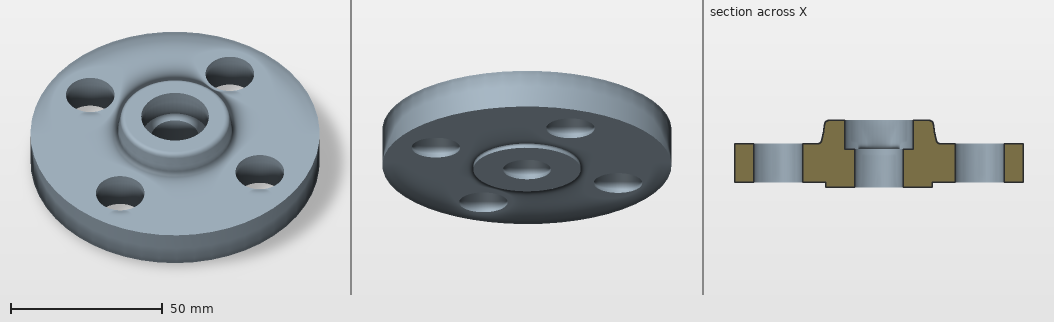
import cadquery as cq

flange_diameter = 95.2
raised_face_height = 1.5
flange_thickness = 12.9
hub_height = 7.8

raised_face_diameter = 35.3

hub_base_diameter = 38.3
hub_taper_angle = 10.0
hub_base_fillet = 1.5
hub_top_round = 1.7

bore_diameter = 15.8
socket_diameter = 22.3
socket_depth = 9.5

bolt_count = 4
bolt_hole_diameter = 16.0
bolt_circle_diameter = 66.5

flange_bottom = raised_face_height
flange_top = flange_bottom + flange_thickness
hub_top = flange_top + hub_height


def make_flange():
    """Round plate with a raised face below it."""
    raised_face = cq.Workplane("XY").circle(raised_face_diameter / 2).extrude(raised_face_height)
    plate = (
        cq.Workplane("XY")
        .workplane(offset=flange_bottom)
        .circle(flange_diameter / 2)
        .extrude(flange_thickness)
    )
    return plate.union(raised_face)


def add_hub(body):
    """Tapered hub, rounded at its top rim and blended into the flange."""
    hub = (
        cq.Workplane("XY")
        .workplane(offset=flange_top)
        .circle(hub_base_diameter / 2)
        .extrude(hub_height, taper=hub_taper_angle)
        .faces(">Z")
        .edges()
        .fillet(hub_top_round)
    )
    inner_edge = cq.selectors.RadiusNthSelector(0)
    flange_top_face = body.union(hub).faces("|Z").faces(">Z[-2]")
    return flange_top_face.edges(inner_edge).fillet(hub_base_fillet)


def cut_bore(body):
    """Through bore with a wider pipe socket entering from the hub end."""
    bore = cq.Workplane("XY").circle(bore_diameter / 2).extrude(hub_top)
    socket = (
        cq.Workplane("XY")
        .workplane(offset=hub_top - socket_depth)
        .circle(socket_diameter / 2)
        .extrude(socket_depth)
    )
    return body.cut(bore).cut(socket)


def cut_bolt_holes(body):
    """Evenly spaced bolt holes through the flange, the first on the X axis."""
    holes = (
        cq.Workplane("XY")
        .workplane(offset=flange_bottom)
        .polarArray(bolt_circle_diameter / 2, 0, 360, bolt_count)
        .circle(bolt_hole_diameter / 2)
        .extrude(flange_thickness)
    )
    return body.cut(holes)


result = cut_bolt_holes(cut_bore(add_hub(make_flange())))